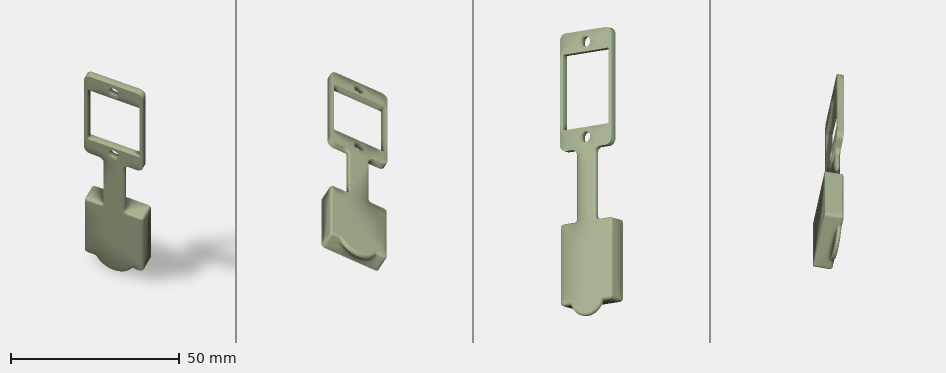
import cadquery as cq
import math

total_height = 86.5
width = 19.1
depth = 5.8
front_round = 0.8

plate_height = 35.7
plate_thickness = 2.1
plate_corner = 2.1
window_width = 16.95
window_height = 22.9

hole_spacing = 28.9
bore_diameter = 3.1
counterbore_diameter = 3.7
mouth_diameter = 4.1
step_depth = 0.1
bore_end = 1.4

neck_width = 7.0
neck_thickness = 1.5
flare_radius = 1.8
neck_foot_radius = 1.0

box_bottom = 4.0
box_height = 24.8
box_corner = 1.0
tab_thickness = 1.2
tab_radius = 6.2
tab_blend = 0.9

box_top = box_bottom + box_height
plate_bottom = total_height - plate_height
plate_middle = plate_bottom + plate_height / 2
neck_length = plate_bottom - box_top

selection_margin = 0.1


def front_plane(y=0):
    """XZ sketch plane at depth y; a negative extrusion goes toward +Y."""
    return cq.Workplane("XZ", origin=(0, y, 0))


def front_rectangle(bottom, size_x, size_z, thickness):
    """Centred rectangular block starting on the front face."""
    return front_plane().center(0, bottom + size_z / 2).rect(size_x, size_z).extrude(-thickness)


def depth_layer(y_start, y_end):
    """Block as wide and high as the part, between two depths."""
    layer = cq.Workplane().box(width, y_end - y_start, total_height, centered=(True, False, False))
    return layer.translate((0, y_start, 0))


def corner_outline(wall_x, ledge_z, radius, side, direction):
    """Closed outline from the axis to a concave arc between a wall at side * wall_x and a ledge.

    The arc lies above the ledge for direction 1 and below it for direction -1.
    """
    arc_inset = radius * (1 - math.sqrt(0.5))
    arc_end_z = ledge_z + direction * radius
    return (
        front_plane()
        .moveTo(0, ledge_z)
        .lineTo(side * (wall_x + radius), ledge_z)
        .threePointArc(
            (side * (wall_x + arc_inset), ledge_z + direction * arc_inset),
            (side * wall_x, arc_end_z),
        )
        .lineTo(0, arc_end_z)
        .close()
    )


def make_tab():
    """Round tab whose sides sweep into the underside of the box."""
    blend_z = box_bottom - tab_blend
    centre_distance = tab_radius + tab_blend
    blend_x = math.sqrt(centre_distance**2 - (tab_radius - blend_z) ** 2)

    touch_x = blend_x * tab_radius / centre_distance
    touch_z = tab_radius + (blend_z - tab_radius) * tab_radius / centre_distance

    touch_angle = math.atan2(touch_z - blend_z, touch_x - blend_x)
    middle_angle = (touch_angle + math.pi / 2) / 2
    middle_x = blend_x + tab_blend * math.cos(middle_angle)
    middle_z = blend_z + tab_blend * math.sin(middle_angle)

    root_z = box_bottom + box_corner
    return (
        front_plane()
        .moveTo(-blend_x, root_z)
        .lineTo(-blend_x, box_bottom)
        .threePointArc((-middle_x, middle_z), (-touch_x, touch_z))
        .threePointArc((0, 0), (touch_x, touch_z))
        .threePointArc((middle_x, middle_z), (blend_x, box_bottom))
        .lineTo(blend_x, root_z)
        .close()
        .extrude(-tab_thickness)
    )


def make_lower_body():
    """Box, tab and neck sharing one front face with a rounded rim."""
    box = front_rectangle(box_bottom, width, box_height, depth).edges("|Y").fillet(box_corner)
    neck = front_rectangle(box_top, neck_width, neck_length, neck_thickness)
    body = box.union(make_tab()).union(neck)
    for side in (-1, 1):
        foot = corner_outline(neck_width / 2, box_top, neck_foot_radius, side, 1)
        body = body.union(foot.extrude(-neck_thickness))

    rim = cq.selectors.BoxSelector(
        (-width, -selection_margin, -selection_margin),
        (width, selection_margin, plate_bottom - selection_margin),
    )
    return body.clean().faces("<Y").edges(rim).fillet(front_round)


def screw_hole(z):
    """Cutter for one stepped through hole, as (diameter, start depth, end depth) sections."""
    sections = (
        (mouth_diameter, 0, step_depth),
        (counterbore_diameter, 0, 2 * step_depth),
        (counterbore_diameter, bore_end, plate_thickness),
    )
    cutter = front_plane().center(0, z).circle(bore_diameter / 2).extrude(-plate_thickness)
    for diameter, y_start, y_end in sections:
        section = front_plane(y_start).center(0, z).circle(diameter / 2).extrude(y_start - y_end)
        cutter = cutter.union(section)
    return cutter


def make_plate():
    """Plate with rounded corners, a window and two screw holes."""
    plate = front_rectangle(plate_bottom, width, plate_height, plate_thickness)
    plate = plate.edges("|Y").fillet(plate_corner)
    window_bottom = plate_middle - window_height / 2
    plate = plate.cut(front_rectangle(window_bottom, window_width, window_height, plate_thickness))
    for end in (-1, 1):
        plate = plate.cut(screw_hole(plate_middle + end * hole_spacing / 2))
    return plate


def make_flare(side):
    """Concave flare under the plate that follows the neck's flat side and its rounded front edge."""
    flat_part = (
        corner_outline(neck_width / 2, plate_bottom, flare_radius, side, -1)
        .extrude(-neck_thickness)
        .intersect(depth_layer(front_round, neck_thickness))
    )
    swept_part = (
        corner_outline(front_round, plate_bottom, flare_radius, 1, -1)
        .revolve(360, (0, 0), (0, 1))
        .translate((side * (neck_width / 2 - front_round), front_round, 0))
        .intersect(depth_layer(0, front_round))
    )
    return flat_part.union(swept_part)


result = make_lower_body().union(make_plate())
for side in (-1, 1):
    result = result.union(make_flare(side))